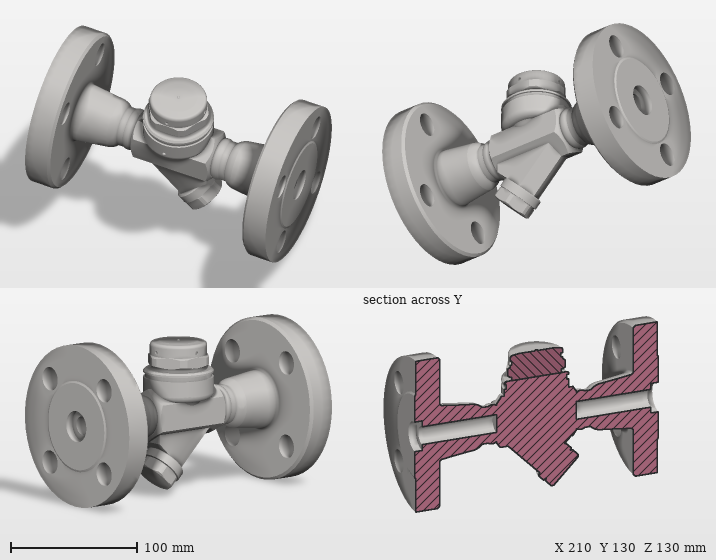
import cadquery as cq
import math

length = 210.0
flange_dia = 130.0
flange_back = 21.8
flange_chamfer = 2.0
raised_height = 0.8
raised_base_dia = 73.0
raised_face_dia = 69.7
bolt_hole_dia = 19.0
bolt_offset = 33.5

hub_root_dia = 46.6
hub_tip_dia = 40.0
hub_fillet = 1.9
hub_tip_x = 53.8
hub_tip_curve = 12.5
tube_dia = 32.0
tube_start_x = 46.6
weld_bead_dia = 34.0
weld_bead_x = 41.5

socket_dia = 25.0
socket_depth = 6.3
bore_dia = 15.0

block_half_length = 34.6
block_flats = 37.0
block_end_dia = 33.2
block_cone_length = 3.4
boss_width = 10.0
boss_top = 22.7
boss_fillet = 4.0

cup_dia = 56.0
groove_dia = 53.0
cup_top = 34.9
rim_chamfer = 1.5
rim_bottom = 32.0
groove_bottom = 28.4
cup_fillet = 5.2
cup_bottom = 11.0
cup_cone_dia = 41.5
cup_cone_slope = 1.6
cup_nub_z = 17.8

branch_angle = 45.0
branch_flats = 25.2
branch_axis_x = -25.2
branch_side_x = 29.5
branch_end = 54.0
seat_dia = 32.0
plug_collar_dia = 34.0
collar_start = 54.8
collar_end = 61.7
plug_hex_flats = 30.0
plug_hex_dia = 33.0
plug_hex_chamfer = 1.0
plug_end = 71.6

cap_dia = 45.5
cap_hex_flats = 46.0
cap_hex_dia = 50.0
cap_hex_bottom = 37.5
cap_hex_top = 46.5
cap_hex_chamfer = 1.3
cap_shoulder = 56.5
cap_top = 57.1
cap_top_dia = 30.0
cap_fillet = 2.7
cap_foot_dia = 45.4
cap_waist_dia = 42.8
cap_waist_z = 36.3
cap_neck_dia = 43.7
cap_nub_rise = 0.8
pin_hole_z = 49.8
pin_hole_depth = 1.5
pin_hole_count = 4
pin_hole_dia = 3.0

nub_dia = 3.0


def corner_radius(flats):
    """Centre-to-corner distance of a hexagon."""
    return flats / 2 / math.cos(math.radians(30))


def hexagon_points(flats, first_angle):
    radius = corner_radius(flats)
    angles = [math.radians(first_angle + 60 * i) for i in range(6)]
    return [(radius * math.cos(a), radius * math.sin(a)) for a in angles]


def turned(profile):
    """Solid of revolution about Z from (radius, height) points."""
    return cq.Workplane("XZ").polyline(profile).close().revolve(360, (0, 0, 0), (0, 1, 0))


def nub(x, y, z):
    """Ball sunk partly into the surface it sits on."""
    return cq.Workplane("XY").sphere(nub_dia / 2).translate((x, y, z))


def turned_hexagon(flats, corner_dia, bottom, top, chamfer_rise):
    """Hexagon along Z with corners on +-X, its corners turned down and chamfered at 30 degrees."""
    corner = corner_dia / 2
    chamfered = corner - chamfer_rise / math.tan(math.radians(30))
    prism = (
        cq.Workplane("XY").workplane(offset=bottom)
        .polyline(hexagon_points(flats, 0)).close().extrude(top - bottom)
    )
    envelope = [
        (0, bottom),
        (chamfered, bottom),
        (corner, bottom + chamfer_rise),
        (corner, top - chamfer_rise),
        (chamfered, top),
        (0, top),
    ]
    return prism.intersect(turned(envelope))


def pipe_end():
    """Flange, hub, tube and weld bead of the -X end."""
    end_x = -length / 2
    face_x = end_x + raised_height
    back_x = end_x + flange_back
    bead_mid_x = -(weld_bead_x + block_half_length) / 2
    flange_r = flange_dia / 2
    hub_root_r = hub_root_dia / 2
    tube_r = tube_dia / 2
    end = (
        cq.Workplane("XY")
        .moveTo(end_x, 0)
        .lineTo(end_x, raised_face_dia / 2)
        .lineTo(face_x, raised_base_dia / 2)
        .lineTo(face_x, flange_r)
        .lineTo(back_x - flange_chamfer, flange_r)
        .lineTo(back_x, flange_r - flange_chamfer)
        .lineTo(back_x, hub_root_r + hub_fillet)
        .radiusArc((back_x + hub_fillet, hub_root_r), -hub_fillet)
        .lineTo(-hub_tip_x, hub_tip_dia / 2)
        .radiusArc((-tube_start_x, tube_r), hub_tip_curve)
        .lineTo(-weld_bead_x, tube_r)
        .threePointArc((bead_mid_x, weld_bead_dia / 2), (-block_half_length, tube_r))
        .lineTo(-block_half_length, 0)
        .close()
        .revolve(360, (0, 0, 0), (1, 0, 0))
    )
    bolt_holes = (
        cq.Workplane("YZ").workplane(offset=end_x)
        .rect(2 * bolt_offset, 2 * bolt_offset, forConstruction=True)
        .vertices().circle(bolt_hole_dia / 2).extrude(flange_back)
    )
    socket = cq.Workplane("YZ").workplane(offset=end_x).circle(socket_dia / 2).extrude(socket_depth)
    bore = (
        cq.Workplane("YZ").workplane(offset=end_x)
        .circle(bore_dia / 2).extrude(length / 2 - block_half_length)
    )
    return end.cut(bolt_holes).cut(socket).cut(bore)


def cup_boss():
    """Boss on the top corner of the block, its sides running into the cup with concave fillets."""
    cup_r = cup_dia / 2
    side = boss_width / 2
    centre_y = side + boss_fillet
    centre_x = -math.sqrt((cup_r + boss_fillet) ** 2 - centre_y ** 2)
    share = cup_r / (cup_r + boss_fillet)
    contact_x, contact_y = centre_x * share, centre_y * share
    return (
        cq.Workplane("XY")
        .moveTo(-block_half_length, side)
        .lineTo(centre_x, side)
        .radiusArc((contact_x, contact_y), -boss_fillet)
        .lineTo(contact_x, -contact_y)
        .radiusArc((centre_x, -side), -boss_fillet)
        .lineTo(-block_half_length, -side)
        .close().extrude(boss_top)
    )


def valve_block():
    """Hexagonal block with a boss on its top corner and coned ends."""
    full_length = 2 * block_half_length
    block = (
        cq.Workplane("YZ").workplane(offset=-block_half_length)
        .polyline(hexagon_points(block_flats, 90)).close().extrude(full_length)
    )
    cone_slope = (corner_radius(block_flats) - block_end_dia / 2) / block_cone_length
    reach = boss_top + boss_width
    cone_x = block_half_length - (reach - block_end_dia / 2) / cone_slope
    envelope = (
        cq.Workplane("XY")
        .polyline([
            (-block_half_length, 0),
            (-block_half_length, block_end_dia / 2),
            (-cone_x, reach),
            (cone_x, reach),
            (block_half_length, block_end_dia / 2),
            (block_half_length, 0),
        ])
        .close().revolve(360, (0, 0, 0), (1, 0, 0))
    )
    return block.union(cup_boss()).intersect(envelope)


def bonnet_cup():
    """Grooved cup on a short blending cone, with a nub on its -Y side."""
    rim_r = cup_dia / 2
    groove_r = groove_dia / 2
    cone_r = cup_cone_dia / 2
    cup = (
        cq.Workplane("XZ")
        .moveTo(0, cup_bottom - cone_r * cup_cone_slope)
        .lineTo(cone_r, cup_bottom)
        .lineTo(rim_r - cup_fillet, cup_bottom)
        .radiusArc((rim_r, cup_bottom + cup_fillet), -cup_fillet)
        .lineTo(rim_r, groove_bottom)
        .lineTo(groove_r, groove_bottom)
        .lineTo(groove_r, rim_bottom)
        .lineTo(rim_r, rim_bottom)
        .lineTo(rim_r, cup_top - rim_chamfer)
        .lineTo(rim_r - rim_chamfer, cup_top)
        .lineTo(0, cup_top)
        .close()
        .revolve(360, (0, 0, 0), (0, 1, 0))
    )
    above_pipe_axis = cq.Workplane("XY").circle(cup_dia).extrude(cap_top)
    return cup.intersect(above_pipe_axis).union(nub(0, -rim_r, cup_nub_z))


def along_branch(solid):
    """Move a solid built along +Z onto the branch axis, its +X side towards the lower left."""
    return solid.rotate((0, 0, 0), (0, 1, 0), 180 - branch_angle).translate((branch_axis_x, 0, 0))


def strainer_branch():
    """Duct with a half-hexagon underside, flat-sided towards the block and cut square at the plug."""
    corner = corner_radius(branch_flats)
    half_flats = branch_flats / 2
    span = 2 * block_half_length
    section = [
        (corner, 0), (corner / 2, half_flats), (-span, half_flats),
        (-span, -half_flats), (corner / 2, -half_flats),
    ]
    duct = along_branch(
        cq.Workplane("XY").workplane(offset=branch_end - 2 * span)
        .polyline(section).close().extrude(2 * span)
    )
    clip_length = block_half_length + branch_side_x
    below_pipe_axis = cq.Workplane("XY").box(clip_length, span, 2 * span).translate(
        (branch_side_x - clip_length / 2, 0, -span)
    )
    return duct.intersect(below_pipe_axis)


def strainer_plug():
    """Round collar, tapered where it meets the branch, and a hexagon head."""
    collar_r = plug_collar_dia / 2
    seat_r = seat_dia / 2
    collar = turned([
        (0, branch_end),
        (seat_r, branch_end),
        (collar_r, collar_start),
        (collar_r, collar_end),
        (0, collar_end),
    ])
    head = turned_hexagon(plug_hex_flats, plug_hex_dia, collar_end, plug_end, plug_hex_chamfer)
    return along_branch(collar.union(head))


def make_housing():
    end = pipe_end()
    housing = valve_block().union(bonnet_cup())
    return (
        housing.union(end).union(end.mirror("YZ"))
        .union(strainer_branch()).union(strainer_plug())
    )


def pin_holes():
    """Blind radial holes spaced evenly around the cap."""
    hole = (
        cq.Workplane("YZ").workplane(offset=cap_dia / 2 - pin_hole_depth)
        .center(0, pin_hole_z).circle(pin_hole_dia / 2).extrude(2 * pin_hole_depth)
    )
    holes = cq.Workplane("XY")
    for i in range(pin_hole_count):
        holes = holes.add(hole.rotate((0, 0, 0), (0, 0, 1), 360 / pin_hole_count * i))
    return holes.combine()


def make_cap():
    """Cap with a hexagon, standing on the cup with a concave neck."""
    body_r = cap_dia / 2
    cap = (
        cq.Workplane("XZ")
        .moveTo(0, cup_top)
        .lineTo(cap_foot_dia / 2, cup_top)
        .threePointArc((cap_waist_dia / 2, cap_waist_z), (cap_neck_dia / 2, cap_hex_bottom))
        .lineTo(body_r, cap_hex_bottom)
        .lineTo(body_r, cap_shoulder - cap_fillet)
        .radiusArc((body_r - cap_fillet, cap_shoulder), -cap_fillet)
        .lineTo(cap_top_dia / 2, cap_top)
        .lineTo(0, cap_top)
        .close()
        .revolve(360, (0, 0, 0), (0, 1, 0))
    )
    hexagon = turned_hexagon(
        cap_hex_flats, cap_hex_dia, cap_hex_bottom, cap_hex_top, cap_hex_chamfer
    )
    cap = cap.union(hexagon).union(nub(0, 0, cap_top + cap_nub_rise - nub_dia / 2))
    return cap.cut(pin_holes())


housing = make_housing()
cap = make_cap()
result = cq.Compound.makeCompound([housing.solids().val(), cap.solids().val()])